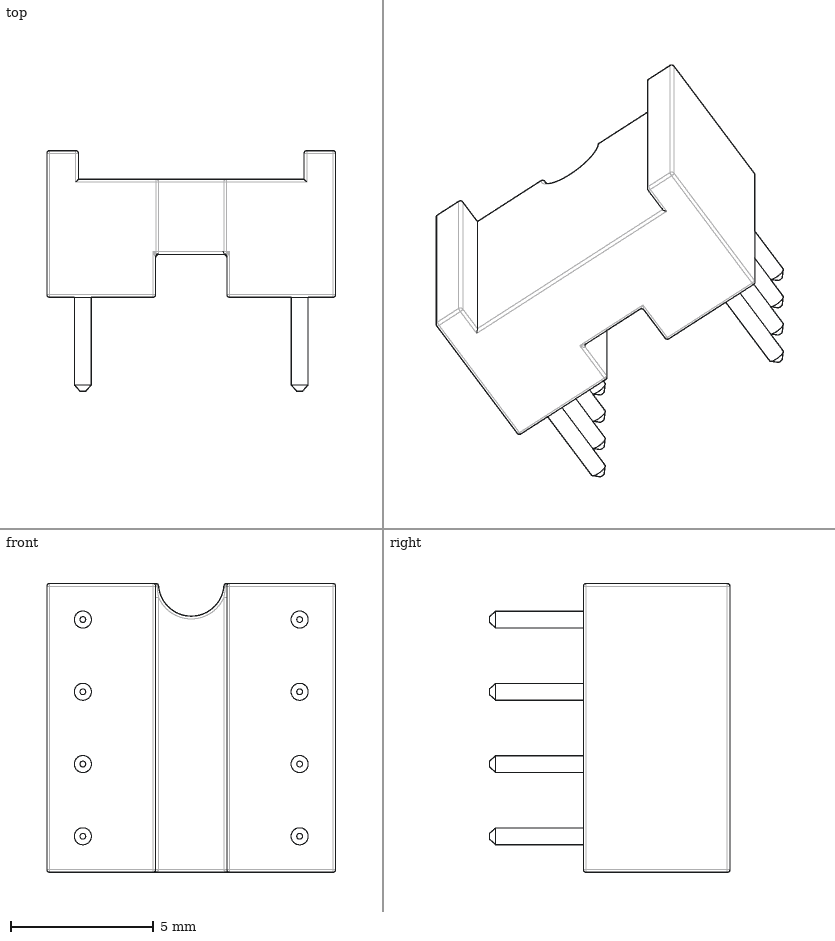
import cadquery as cq
side = 10.16
overall_depth = 8.46
body_depth = 5.16
edge_radius = 0.1

rail_width = 1.12
recess_depth = 1.01

channel_width = 2.5
channel_depth = 1.5

notch_radius = 1.15

pins_per_row = 4
pin_pitch = side / pins_per_row
row_spacing = 3 * pin_pitch
pin_diameter = 0.6
pin_length = overall_depth - body_depth
tip_length = 0.22
tip_diameter = 0.2

pin_face_y = -body_depth / 2
back_face_y = body_depth / 2


def lengthwise_edges(y_low, y_high):
    """Selector for the edges running along Z, between the rails, with Y in the given range."""
    half_width = side / 2 - rail_width + edge_radius
    half_height = side / 4
    return cq.selectors.BoxSelector((-half_width, y_low, -half_height), (half_width, y_high, half_height))


def make_body():
    """Rounded housing with its back recess, pin-side channel and end notch."""
    recess_floor_y = back_face_y - recess_depth
    channel_floor_y = pin_face_y + channel_depth
    body = cq.Workplane("XY").box(side, body_depth, side)
    recess = (
        cq.Workplane("XY")
        .box(side - 2 * rail_width, recess_depth, side)
        .translate((0, back_face_y - recess_depth / 2, 0))
    )
    channel = (
        cq.Workplane("XY")
        .box(channel_width, channel_depth, side)
        .translate((0, pin_face_y + channel_depth / 2, 0))
    )
    notch = (
        cq.Workplane("XZ")
        .center(0, side / 2)
        .circle(notch_radius)
        .extrude(body_depth / 2, both=True)
    )
    body = body.cut(recess).cut(channel).cut(notch)

    inner_edges = lengthwise_edges(channel_floor_y - edge_radius, recess_floor_y + edge_radius)
    outer_edges = cq.selectors.InverseSelector(inner_edges)
    body = body.edges(outer_edges).fillet(edge_radius)

    channel_corners = lengthwise_edges(channel_floor_y - edge_radius, channel_floor_y + edge_radius)
    return body.edges(channel_corners).fillet(edge_radius)


def make_pin():
    """Round pin along -Y, rooted at the pin face and ending in a flat-tipped cone."""
    tip_start = pin_length - tip_length
    profile = [
        (0, 0),
        (pin_diameter / 2, 0),
        (pin_diameter / 2, -tip_start),
        (tip_diameter / 2, -pin_length),
        (0, -pin_length),
    ]
    pin = cq.Workplane("XY").polyline(profile).close().revolve(360, (0, 0, 0), (0, 1, 0))
    return pin.translate((0, pin_face_y, 0))


result = make_body()
pin = make_pin()
for x in (-row_spacing / 2, row_spacing / 2):
    for index in range(pins_per_row):
        z = (index - (pins_per_row - 1) / 2) * pin_pitch
        result = result.union(pin.translate((x, 0, z)))